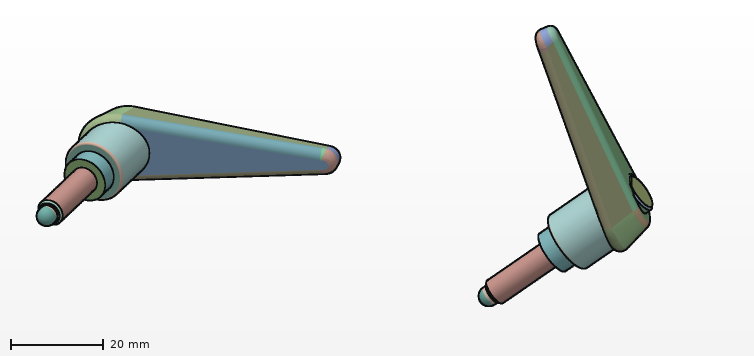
import cadquery as cq
import math


draft_angle = 11.3
arm_base_y = 5.5
arm_height = 30.8
hub_end_radius = 9.5
tip_end_radius = 7.5
tip_x = 42.1
lower_y = 10.15
lower_slope = 20.0
upper_y = 19.65
upper_slope = 15.0
upper_fillet = 1.5
lower_fillet = 1.9
slab_start = 16.5
slab_reach = 60.5

hub_radius = 7.05
hub_top_y = 14.3
hub_edge_fillet = 0.5

button_radius = 4.5
button_top_y = 20.5
button_chamfer = 0.5
collar_radius = 5.0
collar_length = 4.0
shank_radius = 3.0
shank_end_y = -20.45
shank_chamfer = 0.5
neck_radius = 2.1
neck_length = 0.3
ball_radius = 2.25
tip_end_y = -23.85


def height_at(x, axis_height, slope):
    """Height at x of a plane that crosses the clamping axis at axis_height."""
    return axis_height + x * math.tan(math.radians(slope))


def slope_normal(slope):
    """Upward normal of a plane that rises along X at the given slope."""
    angle = math.radians(slope)
    return cq.Vector(-math.sin(angle), math.cos(angle), 0)


def arm_outline():
    """Two arcs joined by their common tangents, drawn in a plane normal to Y."""
    sine = (hub_end_radius - tip_end_radius) / tip_x
    cosine = math.sqrt(1 - sine**2)
    hub_tangent = (hub_end_radius * sine, hub_end_radius * cosine)
    tip_tangent = (tip_x + tip_end_radius * sine, tip_end_radius * cosine)
    return (
        cq.Workplane("XZ", origin=(0, arm_base_y, 0))
        .moveTo(*hub_tangent)
        .lineTo(*tip_tangent)
        .threePointArc((tip_x + tip_end_radius, 0), (tip_tangent[0], -tip_tangent[1]))
        .lineTo(hub_tangent[0], -hub_tangent[1])
        .threePointArc((-hub_end_radius, 0), hub_tangent)
        .close()
    )


def make_arm():
    drafted = arm_outline().extrude(-arm_height, taper=draft_angle)
    slab = (
        cq.Workplane("XY")
        .polyline([
            (x, height_at(x, axis_height, slope))
            for x, axis_height, slope in (
                (-slab_start, lower_y, lower_slope),
                (slab_reach, lower_y, lower_slope),
                (slab_reach, upper_y, upper_slope),
                (-slab_start, upper_y, upper_slope),
            )
        ])
        .close()
        .extrude(slab_reach, both=True)
    )
    arm = drafted.intersect(slab)
    upper_face = cq.selectors.DirectionMinMaxSelector(slope_normal(upper_slope), True)
    lower_face = cq.selectors.DirectionMinMaxSelector(slope_normal(lower_slope), False)
    arm = arm.faces(upper_face).edges().fillet(upper_fillet)
    return arm.faces(lower_face).edges().fillet(lower_fillet)


def make_lever():
    hub = cq.Workplane("XZ").circle(hub_radius).extrude(-hub_top_y)
    hub = hub.faces("<Y").edges().fillet(hub_edge_fillet)
    bore = cq.Workplane("XZ").circle(button_radius).extrude(-button_top_y)
    return make_arm().union(hub).cut(bore)


def make_insert():
    ball_y = tip_end_y + ball_radius
    return (
        cq.Workplane("XY")
        .moveTo(0, button_top_y)
        .lineTo(button_radius - button_chamfer, button_top_y)
        .lineTo(button_radius, button_top_y - button_chamfer)
        .lineTo(button_radius, 0)
        .lineTo(collar_radius, 0)
        .lineTo(collar_radius, -collar_length)
        .lineTo(shank_radius, -collar_length)
        .lineTo(shank_radius, shank_end_y + shank_chamfer)
        .lineTo(shank_radius - shank_chamfer, shank_end_y)
        .lineTo(neck_radius, shank_end_y)
        .lineTo(neck_radius, shank_end_y - neck_length)
        .lineTo(ball_radius, shank_end_y - neck_length)
        .lineTo(ball_radius, ball_y)
        .radiusArc((0, tip_end_y), ball_radius)
        .close()
        .revolve(360, (0, 0, 0), (0, 1, 0))
    )


lever = make_lever()
insert = make_insert()
result = cq.Compound.makeCompound([lever.val(), insert.val()])